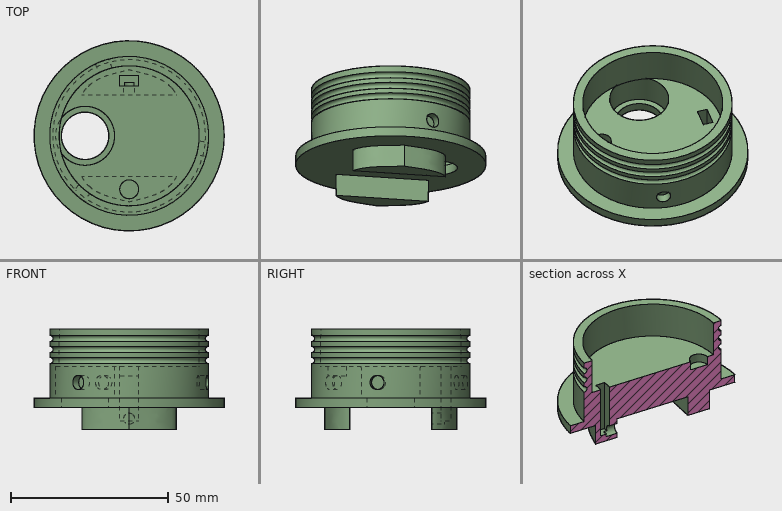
import cadquery as cq
import math

flange_diameter = 60.5
flange_thickness = 3.0
body_diameter = 50.5
body_top = 25.0

cavity_diameter = 44.5
cavity_floor = 13.0

groove_radius = 1.0
top_land = 2.0
groove_pitch = 3.5
groove_count = 3

radial_hole_diameter = 4.5
radial_hole_depth = 3.0
radial_hole_height = 8.0
first_radial_angle = 110
radial_hole_count = 3

opening_x = -14.0
opening_diameter = 15.0
counterbore_diameter = 18.75
counterbore_depth = cavity_floor - flange_thickness

lug_height = 7.0
lug_half_width = 15.0
lug_inner_y = 13.0
lug_outer_y = 21.0
lug_center_y = (lug_inner_y + lug_outer_y) / 2
lug_peak_slope = math.radians(13)
lug_end_slope = math.radians(65)

pocket_length = 6.0
pocket_width = 3.2
pocket_center_y = 17.5
screw_diameter = 3.5
screw_height = -lug_height / 2
screw_end_y = 17.0
pocket_floor_below_screw = 0.8
pocket_floor = screw_height - pocket_floor_below_screw

recess_diameter = 6.0
recess_depth = 3.0


def cylinder(diameter, bottom, top, x=0, y=0):
    """Upright cylinder between two heights."""
    return cq.Workplane("XY", origin=(x, y, bottom)).circle(diameter / 2).extrude(top - bottom)


def make_lug():
    """Lug on the +Y side; each flank steepens smoothly from the central peak to the end."""
    peak_direction = (math.cos(lug_peak_slope), -math.sin(lug_peak_slope))
    end_direction = (math.cos(lug_end_slope), -math.sin(lug_end_slope))
    right_half = (
        cq.Workplane("XY", origin=(0, 0, -lug_height))
        .moveTo(0, lug_inner_y)
        .lineTo(0, lug_outer_y)
        .spline(
            [(lug_half_width, lug_inner_y)],
            tangents=[peak_direction, end_direction],
            includeCurrent=True,
        )
        .close()
        .extrude(lug_height)
    )
    return right_half.union(right_half.mirror("YZ"))


def make_groove(center_height):
    """Ring whose circular section is centred on the body surface."""
    return cq.Solid.makeTorus(body_diameter / 2, groove_radius, cq.Vector(0, 0, center_height))


def make_radial_hole(angle):
    """Blind hole running inward from the body surface."""
    body_radius = body_diameter / 2
    hole = (
        cq.Workplane("YZ", origin=(body_radius - radial_hole_depth, 0, radial_hole_height))
        .circle(radial_hole_diameter / 2)
        .extrude(2 * radial_hole_depth)
    )
    return hole.rotate((0, 0, 0), (0, 0, 1), angle)


def make_opening():
    """Through hole with a counterbore sunk from the cavity floor."""
    counterbore = cylinder(counterbore_diameter, cavity_floor - counterbore_depth, cavity_floor, opening_x)
    return cylinder(opening_diameter, 0, cavity_floor, opening_x).union(counterbore)


def make_nut_pocket():
    """Rectangular pocket from the cavity floor, met by a screw hole from the lug's inner face."""
    pocket = (
        cq.Workplane("XY", origin=(0, pocket_center_y, pocket_floor))
        .rect(pocket_length, pocket_width)
        .extrude(cavity_floor - pocket_floor)
    )
    screw_hole = (
        cq.Workplane("XZ", origin=(0, screw_end_y, screw_height))
        .circle(screw_diameter / 2)
        .extrude(screw_end_y - lug_inner_y)
    )
    return pocket.union(screw_hole)


result = cylinder(flange_diameter, 0, flange_thickness)
result = result.union(cylinder(body_diameter, 0, body_top))

lug = make_lug()
result = result.union(lug).union(lug.mirror("XZ"))

result = result.cut(cylinder(cavity_diameter, cavity_floor, body_top))

first_groove_height = body_top - top_land - groove_radius
for index in range(groove_count):
    result = result.cut(make_groove(first_groove_height - index * groove_pitch))

for index in range(radial_hole_count):
    result = result.cut(make_radial_hole(first_radial_angle + index * 360 / radial_hole_count))

result = result.cut(make_opening())
result = result.cut(make_nut_pocket())
result = result.cut(cylinder(recess_diameter, cavity_floor - recess_depth, cavity_floor, y=-lug_center_y))